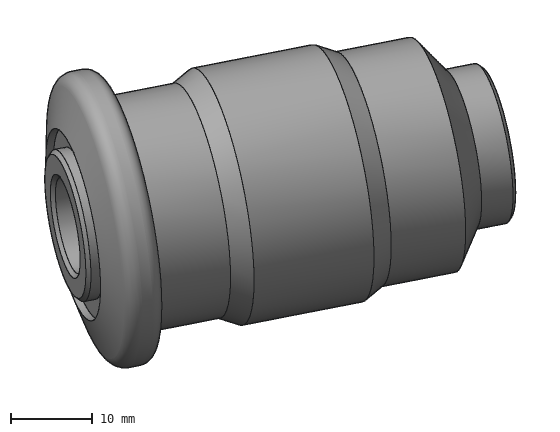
import cadquery as cq
import math

total_length = 54.7

bore_diameter = 12.0
edge_chamfer = 0.5

collar_diameter = 19.0
collar_projection = 1.0

recess_depth = 1.0
recess_floor = collar_projection + recess_depth

flange_face_diameter = 24.0
flange_diameter = 37.0
flange_back = 7.3
flange_cone_depth = 2.0
rim_front_radius = 2.0
rim_back_radius = 1.5

sleeve_diameter = 29.36
sleeve_end = 46.8
band_diameter = 32.12
band_length = 15.3
band_taper_length = 2.6

spigot_diameter = 20.0
spigot_length = 4.5
spigot_start = total_length - spigot_length


def half_profile(points):
    """Close a half profile given as (radius, Y) points."""
    return cq.Workplane("XY").polyline(points).close()


def turn(profile):
    """Revolve a half profile around the Y axis."""
    return profile.revolve(360, (0, 0, 0), (0, 1, 0))


def make_flange():
    """Flange with a recessed face, a conical front and a rounded rim."""
    face_radius = flange_face_diameter / 2
    rim_radius = flange_diameter / 2
    cone_angle = math.atan2(flange_cone_depth, rim_radius - face_radius)

    arc_turn = math.pi / 2 - cone_angle
    tangent_length = rim_front_radius * math.tan(arc_turn / 2)
    rim_corner_y = collar_projection + flange_cone_depth
    arc_start = (
        rim_radius - tangent_length * math.cos(cone_angle),
        rim_corner_y - tangent_length * math.sin(cone_angle),
    )
    arc_end = (rim_radius, rim_corner_y + tangent_length)

    back_arc_start = (rim_radius, flange_back - rim_back_radius)
    back_arc_end = (rim_radius - rim_back_radius, flange_back)

    profile = (
        cq.Workplane("XY")
        .moveTo(0, recess_floor)
        .lineTo(face_radius, recess_floor)
        .lineTo(face_radius, collar_projection)
        .lineTo(*arc_start)
        .radiusArc(arc_end, -rim_front_radius)
        .lineTo(*back_arc_start)
        .radiusArc(back_arc_end, -rim_back_radius)
        .lineTo(0, flange_back)
        .close()
    )
    return turn(profile)


def make_sleeve():
    """Sleeve behind the flange, with a tapered band midway along it."""
    sleeve_radius = sleeve_diameter / 2
    band_radius = band_diameter / 2
    spigot_radius = spigot_diameter / 2
    band_center = (flange_back + sleeve_end) / 2
    band_front = band_center - band_length / 2
    band_back = band_center + band_length / 2
    return turn(half_profile([
        (0, flange_back),
        (sleeve_radius, flange_back),
        (sleeve_radius, band_front - band_taper_length),
        (band_radius, band_front),
        (band_radius, band_back),
        (sleeve_radius, band_back + band_taper_length),
        (sleeve_radius, sleeve_end),
        (spigot_radius, spigot_start),
        (0, spigot_start),
    ]))


def make_collar():
    """Front collar with a chamfered outer edge."""
    radius = collar_diameter / 2
    return turn(half_profile([
        (0, 0),
        (radius - edge_chamfer, 0),
        (radius, edge_chamfer),
        (radius, recess_floor),
        (0, recess_floor),
    ]))


def make_spigot():
    """Rear spigot with a chamfered outer edge."""
    radius = spigot_diameter / 2
    return turn(half_profile([
        (0, spigot_start),
        (radius, spigot_start),
        (radius, total_length - edge_chamfer),
        (radius - edge_chamfer, total_length),
        (0, total_length),
    ]))


def make_bore():
    """Cutter for the through bore, chamfered at both mouths."""
    radius = bore_diameter / 2
    return turn(half_profile([
        (0, 0),
        (radius + edge_chamfer, 0),
        (radius, edge_chamfer),
        (radius, total_length - edge_chamfer),
        (radius + edge_chamfer, total_length),
        (0, total_length),
    ]))


body = make_collar().union(make_flange()).union(make_sleeve()).union(make_spigot())
result = body.cut(make_bore())